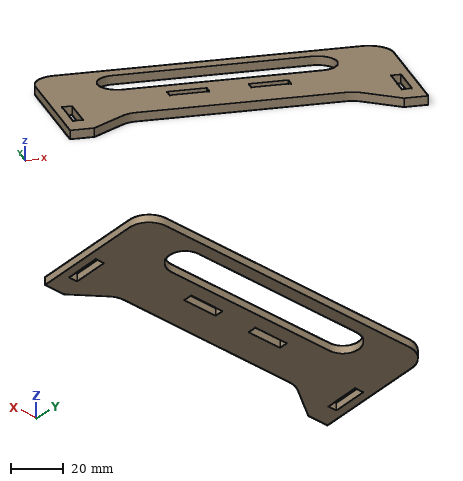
import cadquery as cq

length = 141.6
width = 59.3
thickness = 3.7
corner_radius = 9.9

foot_width = 9.6
recess_depth = 12.0
recess_top_half_length = 44.6
recess_radius = 9.9

handle_length = 94.7
handle_width = 15.7
handle_y = 45.6

slot_length = 15.7
slot_width = 4.0
middle_slot_x = 16.1
middle_slot_y = 28.9
end_slot_x = 65.0
end_slot_y = 17.5


def make_plate():
    half_length = length / 2
    foot_inner_x = half_length - foot_width
    outline = [
        (-half_length, 0),
        (-foot_inner_x, 0),
        (-recess_top_half_length, recess_depth),
        (recess_top_half_length, recess_depth),
        (foot_inner_x, 0),
        (half_length, 0),
        (half_length, width),
        (-half_length, width),
    ]
    plate = cq.Workplane("XY").polyline(outline).close().extrude(thickness)
    plate = plate.edges("|Z and >Y").fillet(corner_radius)
    recess_corners = [(x, recess_depth, thickness / 2) for x in (-recess_top_half_length, recess_top_half_length)]
    for corner in recess_corners:
        plate = plate.edges(cq.selectors.NearestToPointSelector(corner)).fillet(recess_radius)
    return plate


def make_handle_opening():
    return cq.Workplane("XY").center(0, handle_y).slot2D(handle_length, handle_width).extrude(thickness)


def make_slot_pair(x, y, size_x, size_y):
    centres = [(-x, y), (x, y)]
    return cq.Workplane("XY").pushPoints(centres).rect(size_x, size_y).extrude(thickness)


result = (
    make_plate()
    .cut(make_handle_opening())
    .cut(make_slot_pair(middle_slot_x, middle_slot_y, slot_length, slot_width))
    .cut(make_slot_pair(end_slot_x, end_slot_y, slot_width, slot_length))
)